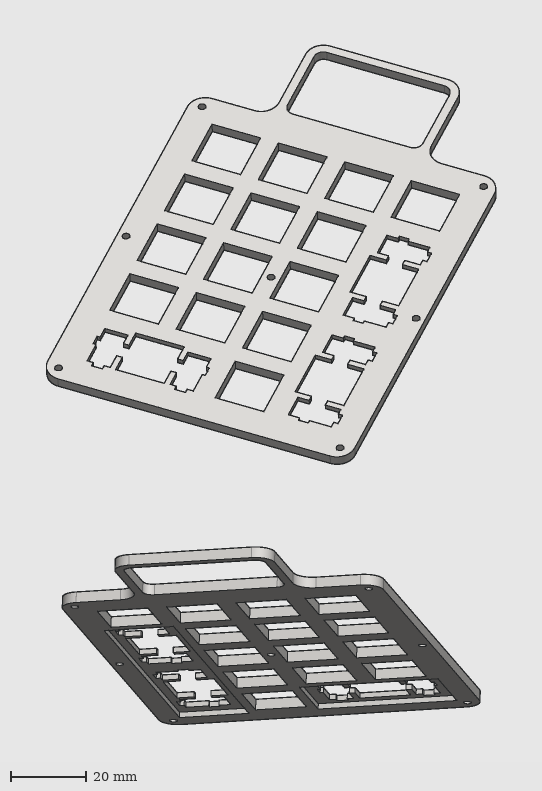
import cadquery as cq

plate_width = 88.2
plate_thickness = 3.0
edge_margin = 6.0
key_columns = 4
key_rows = 5
corner_radius = 5.0
tilt_angle = 5.0

key_pitch = (plate_width - 2 * edge_margin) / key_columns
plate_length = key_rows * key_pitch + 2 * edge_margin

handle_width = 43.8
handle_reach = 28.5
handle_bar = 2.5
handle_inner_radius = 2.6

switch_size = 14.0

stabilizer_offset = 11.9
stabilizer_width = 6.6
stabilizer_top = 5.5
stabilizer_bottom = -6.8
channel_half_height = 2.3
foot_notch_width = 3.1
foot_notch_bottom = -8.0
side_notch_depth = 0.85
side_notch_top = 2.3
side_notch_bottom = -0.5

lip_thickness = 1.5

screw_diameter = 2.0
corner_screw_inset = 3.7
middle_screw_inset = 2.5


def block(x_min, x_max, y_min, y_max, height=plate_thickness):
    """A box standing on the plate's underside, given by its X and Y limits."""
    return (
        cq.Workplane("XY")
        .box(x_max - x_min, y_max - y_min, height, centered=False)
        .translate((x_min, y_min, 0))
    )


def key_position(column, row):
    """Point at a grid cell, counted from the -X column and the +Y row; halves lie between cells."""
    x = (column - (key_columns - 1) / 2) * key_pitch
    y = ((key_rows - 1) / 2 - row) * key_pitch
    return x, y, 0


def plate_with_handle():
    """Rounded plate and handle loop, blended where the loop leaves the plate."""
    half_width = plate_width / 2
    half_length = plate_length / 2
    half_handle = handle_width / 2
    handle_end = half_length + handle_reach
    body = block(-half_width, half_width, -half_length, half_length)
    handle = block(-half_handle, half_handle, 0, handle_end)
    outline = body.union(handle).edges("|Z").fillet(corner_radius)

    half_window = half_handle - handle_bar
    window = block(-half_window, half_window, half_length + handle_bar, handle_end - handle_bar)
    return outline.cut(window.edges("|Z").fillet(handle_inner_radius))


def switch_opening():
    """Square opening for a single key, centred on the origin."""
    half_size = switch_size / 2
    return block(-half_size, half_size, -half_size, half_size)


def stabilized_opening():
    """Opening and underside relief for a two-unit key lying along X, foot notches towards -Y."""
    outer_x = stabilizer_offset + stabilizer_width / 2
    notch_x = outer_x + side_notch_depth
    opening = (
        switch_opening()
        .union(block(-outer_x, outer_x, -channel_half_height, channel_half_height))
        .union(block(-notch_x, notch_x, side_notch_bottom, side_notch_top))
    )
    half_width = stabilizer_width / 2
    half_notch = foot_notch_width / 2
    for x in (-stabilizer_offset, stabilizer_offset):
        opening = (
            opening
            .union(block(x - half_width, x + half_width, stabilizer_bottom, stabilizer_top))
            .union(block(x - half_notch, x + half_notch, foot_notch_bottom, 0))
        )
    relief_depth = plate_thickness - lip_thickness
    relief = block(-key_pitch, key_pitch, -key_pitch / 2, key_pitch / 2, relief_depth)
    return opening.union(relief)


def screw_holes():
    """Pins that cut the four corner holes and the three holes across the middle."""
    corner_x = plate_width / 2 - corner_screw_inset
    corner_y = plate_length / 2 - corner_screw_inset
    middle_x = plate_width / 2 - middle_screw_inset
    positions = [(x, y) for x in (-corner_x, corner_x) for y in (-corner_y, corner_y)]
    positions += [(x, 0) for x in (-middle_x, 0, middle_x)]
    return cq.Workplane("XY").pushPoints(positions).circle(screw_diameter / 2).extrude(plate_thickness)


last_column = key_columns - 1
last_row = key_rows - 1
single_keys = [(column, row) for column in range(last_column) for row in range(last_row)]
single_keys += [(last_column, 0), (last_column - 1, last_row)]
wide_keys = [(0.5, last_row)]
tall_keys = [(last_column, 1.5), (last_column, 3.5)]

wide_opening = stabilized_opening()
tall_opening = wide_opening.rotate((0, 0, 0), (0, 0, 1), 90)

plate = plate_with_handle().cut(screw_holes())
for opening, places in (
    (switch_opening(), single_keys),
    (wide_opening, wide_keys),
    (tall_opening, tall_keys),
):
    for column, row in places:
        plate = plate.cut(opening.translate(key_position(column, row)))

result = plate.rotate((0, 0, 0), (1, 0, 0), tilt_angle)